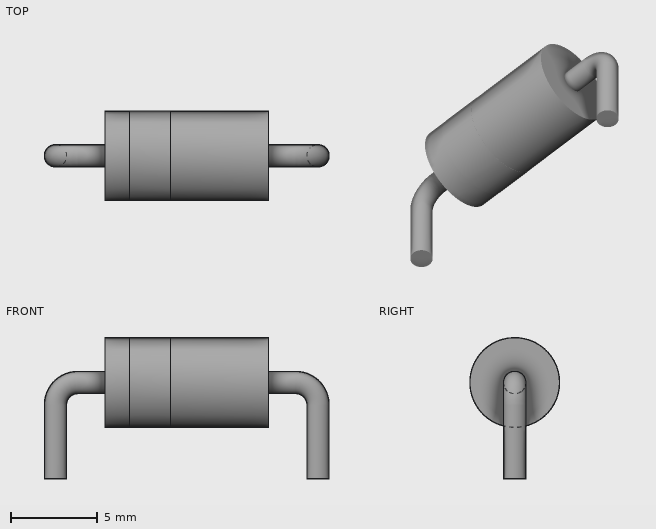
import cadquery as cq

body_length = 9.5
body_diameter = 5.2

band_diameter = 5.22
band_offset = 0.15 * body_length
band_width = 0.25 * body_length

lead_diameter = 1.3
lead_pitch = 15.24
lead_drop = 5.6
bend_radius = lead_diameter


def cylinder_along_x(start_x, length, diameter):
    return cq.Workplane("YZ").workplane(offset=start_x).circle(diameter / 2).extrude(length)


def make_body():
    start_x = -body_length / 2
    body = cylinder_along_x(start_x, body_length, body_diameter)
    band = cylinder_along_x(start_x + band_offset, band_width, band_diameter)
    return body.union(band)


def make_lead(side):
    """Bent round lead on the +X (side = 1) or -X (side = -1) end of the body."""
    tip_x = side * lead_pitch / 2
    bend_start_x = tip_x - side * bend_radius
    body_end_x = side * body_length / 2
    path = (
        cq.Workplane("XZ")
        .moveTo(tip_x, -lead_drop)
        .lineTo(tip_x, -bend_radius)
        .tangentArcPoint((bend_start_x, 0), relative=False)
        .lineTo(body_end_x, 0)
    )
    profile = cq.Workplane("XY", origin=(tip_x, 0, -lead_drop)).circle(lead_diameter / 2)
    return profile.sweep(path)


result = make_body()
for side in (-1, 1):
    result = result.union(make_lead(side))